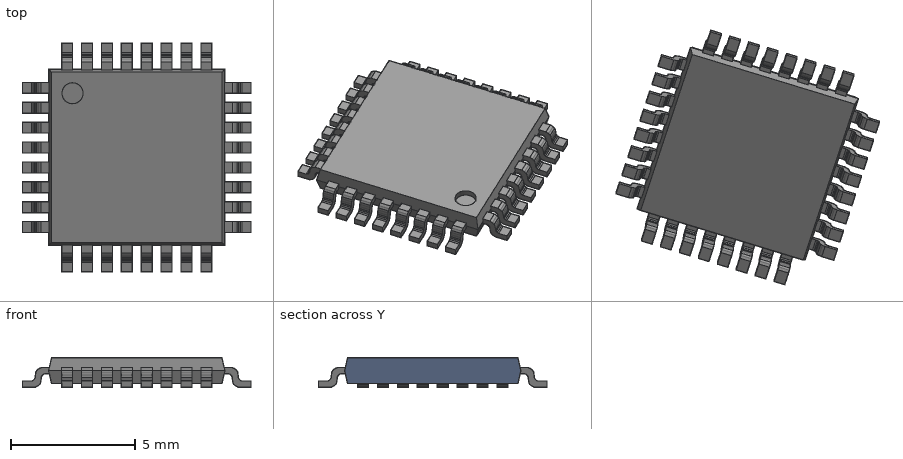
import cadquery as cq

span = 9.2
height = 1.2

body_width = 7.1
body_face_width = 6.86
standoff = 0.15
half_height = (height - standoff) / 2
parting_z = standoff + half_height

mark_radius = 0.42
mark_offset = 2.585
mark_depth = 0.24

leads_per_side = 8
lead_pitch = 0.8
lead_width = 0.45
lead_thickness = 0.26
lead_embed = 0.18
lead_top = parting_z + lead_thickness / 2
foot_length = 0.37
shoulder_distance = 0.75

bend_corners = [
    (foot_length, lead_thickness),
    (0.43, 0.285),
    (0.48, 0.33),
    (0.51, 0.39),
    (0.515, 0.49),
    (0.53, 0.61),
    (0.57, 0.68),
    (0.64, 0.745),
    (shoulder_distance, lead_top),
]
bend_middle = 0.635


def body_half(face_z):
    """Tapered half of the body, from the parting plane to the face at face_z."""
    return (
        cq.Workplane("XY", origin=(0, 0, parting_z))
        .rect(body_width, body_width)
        .workplane(offset=face_z - parting_z)
        .rect(body_face_width, body_face_width)
        .loft(ruled=True)
    )


def lead_at_center():
    """One lead of the +X side, centred on Y = 0."""
    tip = span / 2
    root = body_width / 2 - lead_embed
    upper = [(tip - inset, z) for inset, z in bend_corners]
    lower = [(tip - 2 * bend_middle + inset, lead_top - z) for inset, z in bend_corners]
    outline = [
        (tip, 0),
        (tip, lead_thickness),
        *upper,
        (root, lead_top),
        (root, lead_top - lead_thickness),
        *lower,
    ]
    return (
        cq.Workplane("XZ", origin=(0, lead_width / 2, 0))
        .polyline(outline)
        .close()
        .extrude(lead_width)
    )


body = body_half(height).union(body_half(standoff))
mark = (
    cq.Workplane("XY", origin=(-mark_offset, mark_offset, height))
    .circle(mark_radius)
    .extrude(-mark_depth)
)
result = body.cut(mark)

lead = lead_at_center()
row_start = -(leads_per_side - 1) / 2 * lead_pitch
for side_angle in (0, 90, 180, 270):
    for index in range(leads_per_side):
        placed = lead.translate((0, row_start + index * lead_pitch, 0))
        result = result.union(placed.rotate((0, 0, 0), (0, 0, 1), side_angle))